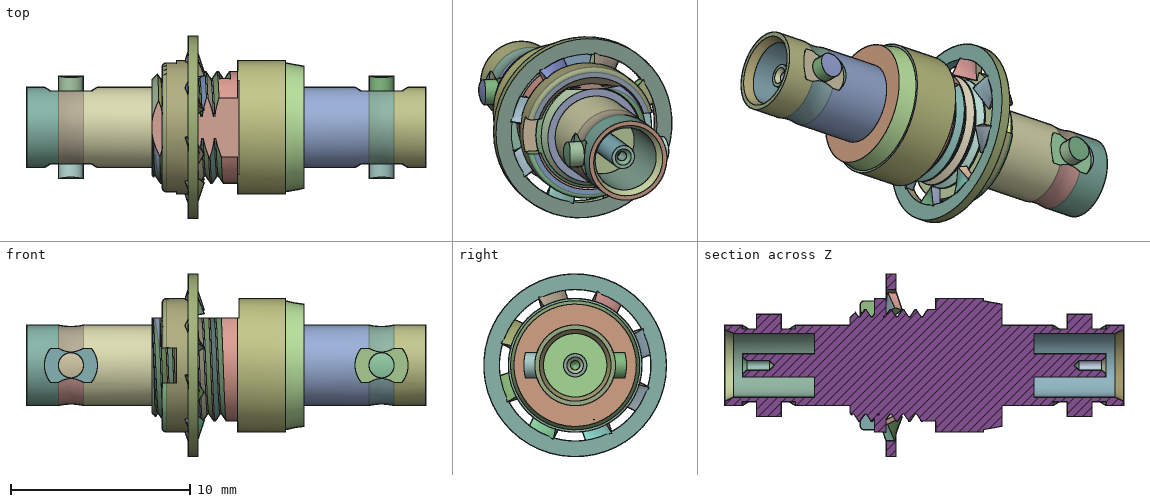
import cadquery as cq

small_overlap = 0.01
cut_overshoot = 1.0

length = 22.25
tube_radius = 2.25
end_x = length / 2

socket_mouth_radius = 2.0
socket_radius = 1.77
socket_taper_depth = 0.5
socket_depth = 5.0
contact_radius = 0.65
contact_recess = 1.0
contact_mouth_radius = 0.46
contact_hole_radius = 0.26
contact_chamfer_depth = 0.25
contact_hole_depth = 1.5

pin_x = 8.66
pin_radius = 0.7
pin_tip_radius = 2.86
waist_radius = 2.17
flat_y = 2.04
flat_radius = 1.48

shaft_start_x = -4.14
thread_radius = 3.12
thread_root_radius = 2.72
thread_pitch = 0.70
thread_crest_gap = 0.62
thread_root_width = 0.08
thread_end_x = -0.07
thread_end_angle = 29.0
thread_turns = 6.25
shaft_chamfer = 0.45
key_flat_z = 2.65
key_flat_end_x = 0.70

flange_start_x = 0.63
flange_cone_x = 3.31
flange_end_x = 4.34
flange_radius = 3.73
cone_start_radius = 3.6
cone_end_radius = 3.41

nut_start_x = -3.58
nut_radius = 3.73
nut_bore_radius = 2.75
nut_mouth_radius = 3.19
nut_fillet = 0.25
nut_slot_width = 1.95
nut_slot_depth = 0.8

washer_start_x = -2.12
washer_thickness = 0.55
washer_radius = 5.1
washer_hole_radius = 4.22
tooth_count = 8
tooth_width = 1.54
tooth_thickness = 0.5
first_tooth_angle = 18.3
tooth_tip_radius = 3.2
tooth_twist = -32.0
tooth_root_embed = 0.1


def turned(points):
    """Revolve an (x, radius) outline around the X axis."""
    return cq.Workplane("XY").polyline(points).close().revolve(360, (0, 0, 0), (1, 0, 0))


def along_x(shape):
    """Turn a shape built around Z so that local X, Y, Z become Y, Z, X."""
    return shape.rotate((0, 0, 0), (1, 1, 1), 120)


def make_socket():
    """Tapered bore at the -X end, leaving the centre contact standing."""
    contact_x = -end_x + contact_recess
    floor_x = -end_x + socket_depth
    hole_end_x = contact_x + contact_hole_depth
    return turned([
        (-end_x - small_overlap, 0),
        (-end_x - small_overlap, socket_mouth_radius),
        (-end_x, socket_mouth_radius),
        (-end_x + socket_taper_depth, socket_radius),
        (floor_x, socket_radius),
        (floor_x, contact_radius),
        (contact_x, contact_radius),
        (contact_x, contact_mouth_radius),
        (contact_x + contact_chamfer_depth, contact_hole_radius),
        (hole_end_x, contact_hole_radius),
        (hole_end_x + contact_hole_radius, 0),
    ])


def make_waist():
    """Shallow concave ring around the tube at the pins."""
    outer = tube_radius + cut_overshoot
    return (
        cq.Workplane("XY")
        .moveTo(-pin_x - pin_radius, outer)
        .lineTo(-pin_x - pin_radius, tube_radius)
        .threePointArc((-pin_x, waist_radius), (-pin_x + pin_radius, tube_radius))
        .lineTo(-pin_x + pin_radius, outer)
        .close()
        .revolve(360, (0, 0, 0), (1, 0, 0))
    )


def bar_along_y(radius, start_y):
    """Round bar centred on the pin axis, running outwards from start_y on the +Y side."""
    bar_length = cut_overshoot + pin_tip_radius
    return cq.Workplane("XZ", origin=(-pin_x, start_y, 0)).circle(radius).extrude(-bar_length)


def make_flat_cutter():
    """Round spot face around the pin on the +Y side."""
    return bar_along_y(flat_radius, flat_y)


def make_pin():
    """Bayonet pin on the +Y side, rooted in the tube wall, its tip curved about X."""
    tip_envelope = cq.Workplane("YZ").circle(pin_tip_radius).extrude(-end_x)
    root_y = (socket_radius + flat_y) / 2
    return bar_along_y(pin_radius, root_y).intersect(tip_envelope)


def make_body():
    """Tube, shaft and flange, with both bayonet ends."""
    body = turned([
        (-end_x, 0),
        (-end_x, tube_radius),
        (shaft_start_x, tube_radius),
        (shaft_start_x, thread_radius - shaft_chamfer),
        (shaft_start_x + shaft_chamfer, thread_radius),
        (flange_start_x, thread_radius),
        (flange_start_x, flange_radius),
        (flange_cone_x, flange_radius),
        (flange_cone_x, cone_start_radius),
        (flange_end_x, cone_end_radius),
        (flange_end_x, tube_radius),
        (end_x, tube_radius),
        (end_x, 0),
    ])
    flat_cutter = make_flat_cutter()
    end_cutter = make_waist().union(flat_cutter).union(flat_cutter.mirror("XZ"))
    pin = make_pin()
    pins = pin.union(pin.mirror("XZ"))
    socket = make_socket()
    body = body.cut(end_cutter).cut(end_cutter.mirror("YZ"))
    body = body.union(pins).union(pins.mirror("YZ"))
    return body.cut(socket).cut(socket.mirror("YZ"))


def make_thread_cutter():
    """Flat-bottomed V-shaped helical groove, right-handed, ending short of the flange."""
    flank_slope = (thread_crest_gap - thread_root_width) / 2 / (thread_radius - thread_root_radius)
    outer_radius = thread_radius + small_overlap
    outer_half_width = thread_crest_gap / 2 + flank_slope * small_overlap
    root_half_width = thread_root_width / 2
    height = thread_pitch * thread_turns
    path = cq.Wire.makeHelix(thread_pitch, height, thread_root_radius)
    groove = (
        cq.Workplane("XZ")
        .moveTo(thread_root_radius, -root_half_width)
        .lineTo(thread_root_radius, root_half_width)
        .lineTo(outer_radius, outer_half_width)
        .lineTo(outer_radius, -outer_half_width)
        .close()
        .sweep(cq.Workplane(path), isFrenet=True)
    )
    start_angle = thread_end_angle - 360 * thread_turns
    groove = groove.rotate((0, 0, 0), (0, 0, 1), start_angle)
    return along_x(groove).translate((thread_end_x - height, 0, 0))


def make_key_flat():
    """Block above the shaft's flat, reaching slightly into the flange face."""
    return cq.Workplane("XY").box(
        key_flat_end_x - shaft_start_x,
        2 * flange_radius,
        cut_overshoot + flange_radius - key_flat_z,
        centered=(False, True, False),
    ).translate((shaft_start_x, 0, key_flat_z))


def make_nut():
    """Ring nut with a rounded front rim and two wrench slots on +Y and -Y."""
    mouth_chamfer = nut_mouth_radius - nut_bore_radius
    nut_length = washer_start_x - nut_start_x
    nut = (
        cq.Workplane("YZ", origin=(nut_start_x, 0, 0))
        .circle(nut_radius)
        .extrude(nut_length)
        .faces("<X").edges().fillet(nut_fillet)
    )
    bore = turned([
        (nut_start_x, 0),
        (nut_start_x, nut_mouth_radius),
        (nut_start_x + mouth_chamfer, nut_bore_radius),
        (washer_start_x, nut_bore_radius),
        (washer_start_x, 0),
    ])
    slot = cq.Workplane("XY").box(
        nut_slot_depth, 2 * nut_radius, nut_slot_width, centered=(False, True, True)
    ).translate((nut_start_x, 0, 0))
    return nut.cut(bore).cut(slot)


def make_tooth():
    """Tooth along +Y: a bar that twists about its own length towards the tip."""
    root_radius = washer_hole_radius + tooth_root_embed
    return (
        cq.Workplane("XZ", origin=(0, root_radius, 0))
        .rect(tooth_thickness, tooth_width)
        .workplane(offset=root_radius - tooth_tip_radius)
        .transformed(rotate=(0, 0, tooth_twist))
        .rect(tooth_thickness, tooth_width)
        .loft(ruled=True)
    )


def make_washer():
    """Flat ring with evenly spaced twisted teeth pointing inwards."""
    washer = (
        cq.Workplane("YZ", origin=(washer_start_x, 0, 0))
        .circle(washer_radius)
        .circle(washer_hole_radius)
        .extrude(washer_thickness)
    )
    tooth = make_tooth().translate((washer_start_x + washer_thickness / 2, 0, 0))
    for index in range(tooth_count):
        angle = first_tooth_angle + index * 360 / tooth_count
        washer = washer.union(tooth.rotate((0, 0, 0), (1, 0, 0), angle))
    return washer


body = make_body().cut(make_thread_cutter()).cut(make_key_flat())
adapter = body.union(make_washer()).union(make_nut())
result = cq.Workplane(adapter.solids().val())